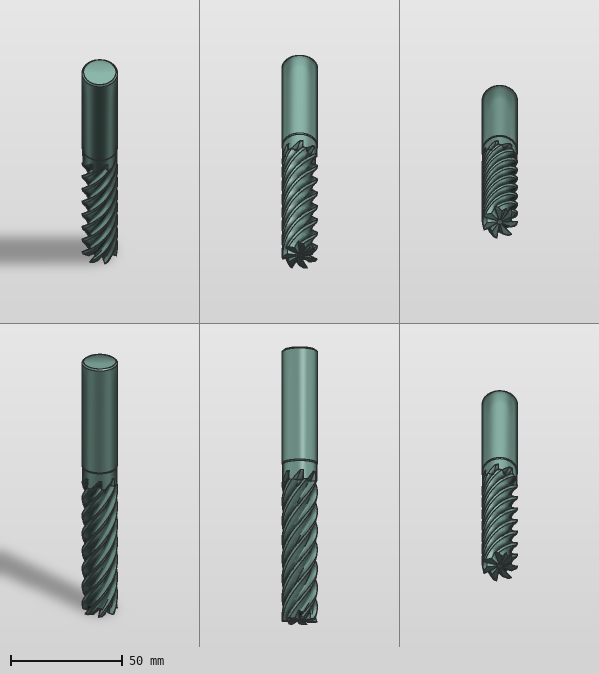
import cadquery as cq
import math

total_length = 125.0
tool_diameter = 16.0
tool_radius = tool_diameter / 2

cutter_length = 64.0
neck_diameter = 15.5
neck_radius = neck_diameter / 2
neck_top = 72.2
neck_cone_height = 0.6
shank_chamfer = 0.8

tooth_count = 7
tooth_spacing = 360 / tooth_count
helix_angle = 39.0
first_edge_angle = -77.0
primary_land_angle = 5.0
primary_land_radius = 7.9
heel_angle = 11.5
heel_radius = 7.6
back_middle_angle = 24.0
back_middle_radius = 6.0
back_end_angle = 37.0
root_middle_angle = 45.0
core_radius = 5.2
rake_foot_angle = 51.0
rake_foot_radius = 6.0

runout_height = 4.1
runout_base_width_angle = tooth_spacing - heel_angle
runout_top_width_angle = 13.0
runout_top_floor_radius = 7.4
runout_outer_radius = 8.8
runout_floor_share = 0.7

gash_height = 3.1
gash_inner_radius = 1.2
gash_outer_radius = 8.8
gash_width_ratio = 0.45
gash_roof_start = -0.25
gash_roof_end = 0.5
dish_radius = 6.5
dish_depth = 0.4

helix_pitch = math.pi * tool_diameter / math.tan(math.radians(helix_angle))
cutter_twist = 360 * cutter_length / helix_pitch


def polar(radius, angle):
    """Point at a distance from the axis and an angle in degrees."""
    turn = math.radians(angle)
    return (radius * math.cos(turn), radius * math.sin(turn))


def tooth_profile():
    """Cross-section of all the teeth at the tip."""
    profile = cq.Workplane("XY").moveTo(*polar(tool_radius, first_edge_angle))
    for tooth in range(tooth_count):
        edge = first_edge_angle + tooth * tooth_spacing
        next_edge = edge + tooth_spacing
        profile = (
            profile.lineTo(*polar(primary_land_radius, edge + primary_land_angle))
            .lineTo(*polar(heel_radius, edge + heel_angle))
            .threePointArc(
                polar(back_middle_radius, edge + back_middle_angle),
                polar(core_radius, edge + back_end_angle),
            )
            .threePointArc(
                polar(core_radius, edge + root_middle_angle),
                polar(rake_foot_radius, edge + rake_foot_angle),
            )
        )
        if tooth < tooth_count - 1:
            profile = profile.lineTo(*polar(tool_radius, next_edge))
    return profile.close()


def gash(edge_angle):
    """Flat-roofed notch in the tip that leans with the helix and grows away from the axis."""

    def section(radius):
        width = radius * gash_width_ratio
        depth = gash_height * radius / core_radius
        corners = [
            (0, 0),
            (-width, 0),
            (width * gash_roof_start, depth),
            (width * gash_roof_end, depth),
        ]
        return cq.Wire.makePolygon([cq.Vector(radius, y, z) for y, z in corners], close=True)

    notch = cq.Solid.makeLoft([section(gash_inner_radius), section(gash_outer_radius)], True)
    return notch.rotate(cq.Vector(0, 0, 0), cq.Vector(0, 0, 1), edge_angle)


def make_cutter():
    """Fluted lower body with gashed, slightly hollow cutting end."""
    teeth = tooth_profile().twistExtrude(cutter_length, cutter_twist)
    hollow = cq.Workplane(cq.Solid.makeCone(dish_radius, 0, dish_depth))
    for tooth in range(tooth_count):
        hollow = hollow.union(cq.Workplane(gash(first_edge_angle + tooth * tooth_spacing)))
    return teeth.cut(hollow)


def flute_runout(edge_angle):
    """Notch that carries one flute into the neck, narrowing and getting shallower upwards."""

    def section(z, width_angle, floor_radius):
        corners = [
            polar(runout_outer_radius, edge_angle - width_angle),
            polar(floor_radius, edge_angle - width_angle * runout_floor_share),
            polar(floor_radius, edge_angle),
            polar(runout_outer_radius, edge_angle),
        ]
        return cq.Wire.makePolygon([cq.Vector(x, y, z) for x, y in corners], close=True)

    base = section(cutter_length, runout_base_width_angle, core_radius)
    top = section(cutter_length + runout_height, runout_top_width_angle, runout_top_floor_radius)
    return cq.Solid.makeLoft([base, top], True)


def make_shank():
    """Plain shank with a stepped-down neck and the flute run-outs."""
    shank = (
        cq.Workplane("XZ")
        .moveTo(0, cutter_length)
        .lineTo(neck_radius, cutter_length)
        .lineTo(neck_radius, neck_top)
        .lineTo(tool_radius, neck_top + neck_cone_height)
        .lineTo(tool_radius, total_length - shank_chamfer)
        .lineTo(tool_radius - shank_chamfer, total_length)
        .lineTo(0, total_length)
        .close()
        .revolve(360, (0, 0, 0), (0, 1, 0))
    )
    for tooth in range(tooth_count):
        edge_angle = first_edge_angle + cutter_twist + tooth * tooth_spacing
        shank = shank.cut(cq.Workplane(flute_runout(edge_angle)))
    return shank


cutter = make_cutter()
shank = make_shank()
result = cq.Compound.makeCompound([cutter.val(), shank.val()])